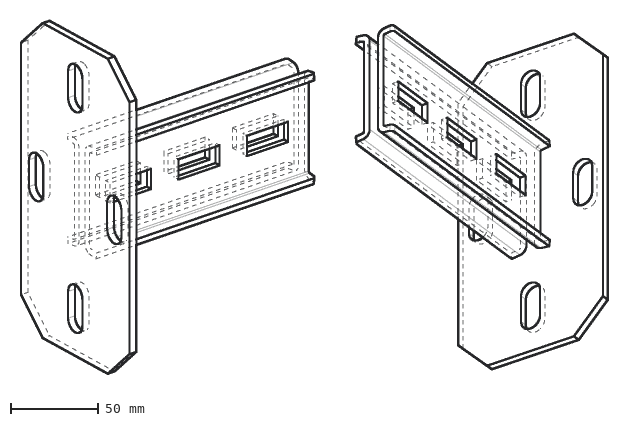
import cadquery as cq
import math

PLATE_WIDTH = 100.0
PLATE_HEIGHT = 200.0
PLATE_THICKNESS = 5.0
CORNER_CUT = 20.0

HOLE_LENGTH = 30.0
HOLE_WIDTH = 13.0
SIDE_HOLE_X = 36.0
END_HOLE_Z = 70.0

CHANNEL_LENGTH = 160.0
CHANNEL_HEIGHT = 70.0
CHANNEL_GAP = 5.5
CHANNEL_DEPTH = 10.5
WALL = 4.0
FLANGE_FLARE = 7.0
BEND_INNER_RADIUS = 1.0
BEND_OUTER_RADIUS = BEND_INNER_RADIUS + WALL
TIP_RADIUS = 2.0

WEB_SLOT_LENGTH = 30.0
WEB_SLOT_HEIGHT = 12.8
WEB_SLOT_PITCH = 50.0
FIRST_WEB_SLOT_Y = 35.0
WEB_SLOT_COUNT = 3


def make_plate():
    """Rectangular plate with cut corners and four vertical obround holes."""
    plate = (
        cq.Workplane("XY")
        .box(PLATE_WIDTH, PLATE_THICKNESS, PLATE_HEIGHT)
        .translate((0, PLATE_THICKNESS / 2, 0))
        .edges("|Y")
        .chamfer(CORNER_CUT)
    )
    hole_centers = [(-SIDE_HOLE_X, 0), (SIDE_HOLE_X, 0), (0, -END_HOLE_Z), (0, END_HOLE_Z)]
    holes = (
        cq.Workplane("XZ")
        .pushPoints(hole_centers)
        .slot2D(HOLE_LENGTH, HOLE_WIDTH, angle=90)
        .extrude(-PLATE_THICKNESS)
    )
    return plate.cut(holes)


def extrude_symmetric(upper_points, start_y, end_y):
    """Extrude along Y an XZ outline given by its upper half and mirrored about Z = 0."""
    lower_points = [(x, -z) for x, z in reversed(upper_points)]
    return (
        cq.Workplane("XZ", origin=(0, start_y, 0))
        .polyline(upper_points + lower_points)
        .close()
        .extrude(start_y - end_y)
    )


def make_right_channel():
    """Channel on the +X side: web near the middle, flanges flaring out toward +X."""
    back_x = CHANNEL_GAP / 2
    tip_x = back_x + CHANNEL_DEPTH
    web_face_x = back_x + WALL
    start_y = PLATE_THICKNESS
    end_y = start_y + CHANNEL_LENGTH

    flare = math.radians(FLANGE_FLARE)
    outer_tip_x = tip_x - WALL * math.sin(flare)
    outer_tip_z = CHANNEL_HEIGHT / 2
    inner_tip_z = outer_tip_z - WALL * math.cos(flare)
    outer_corner_z = outer_tip_z - (outer_tip_x - back_x) * math.tan(flare)
    inner_corner_z = inner_tip_z - (tip_x - web_face_x) * math.tan(flare)

    outer_half = [(back_x, outer_corner_z), (outer_tip_x, outer_tip_z), (tip_x, inner_tip_z)]
    channel = extrude_symmetric(outer_half, start_y, end_y)
    channel = channel.edges("|Y and <X").fillet(BEND_OUTER_RADIUS)

    trough_half = [(web_face_x, inner_corner_z), (tip_x, inner_tip_z)]
    trough = extrude_symmetric(trough_half, start_y, end_y)
    channel = channel.cut(trough.edges("|Y and <X").fillet(BEND_INNER_RADIUS))

    channel = channel.faces(">Y").edges(">X").fillet(TIP_RADIUS)

    for index in range(WEB_SLOT_COUNT):
        slot_y = FIRST_WEB_SLOT_Y + index * WEB_SLOT_PITCH
        slot = (
            cq.Workplane("XY")
            .box(CHANNEL_DEPTH, WEB_SLOT_LENGTH, WEB_SLOT_HEIGHT)
            .translate(((back_x + tip_x) / 2, slot_y, 0))
        )
        channel = channel.cut(slot)
    return channel


plate = make_plate()
right_channel = make_right_channel()
channels = [right_channel, right_channel.mirror("YZ")]

result = cq.Compound.makeCompound([plate.val(), *[channel.val() for channel in channels]])